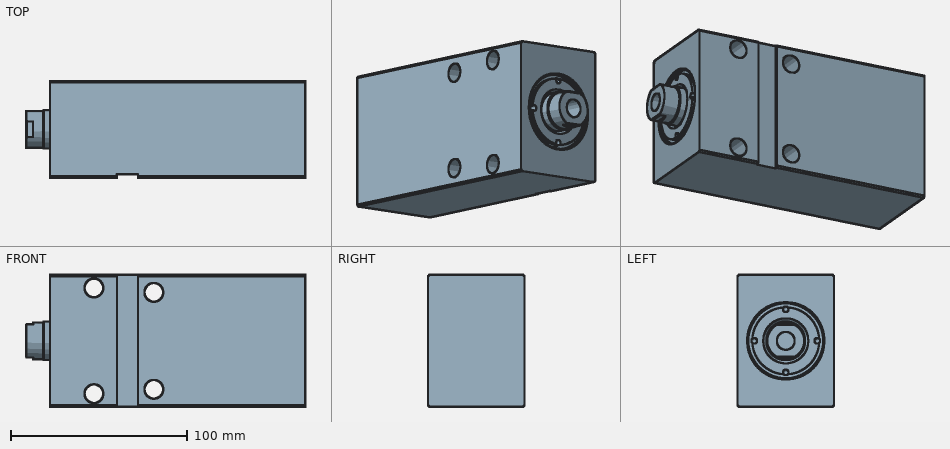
import cadquery as cq
import math

HOUSING_LENGTH = 145.0
HOUSING_WIDTH = 55.0
HOUSING_HEIGHT = 75.0
EDGE_CHAMFER = 1.0

KEYWAY_START = 38.0
KEYWAY_WIDTH = 12.0
KEYWAY_DEPTH = 2.0

MOUNTING_HOLE_DIAMETER = 10.5
MOUNTING_HOLE_PAIRS = [(25.0, 60.0), (59.0, 55.0)]

GLAND_DIAMETER = 42.5
GLAND_LENGTH = 25.0
GLAND_BORE_CHAMFER = 0.7
GLAND_STEP_DIAMETER = 38.0
GLAND_STEP_DEPTH = 1.8
ROD_COUNTERSINK_DIAMETER = 25.6

SPANNER_HOLE_COUNT = 4
SPANNER_HOLE_CIRCLE = 35.8
SPANNER_HOLE_DIAMETER = 3.2
SPANNER_HOLE_DEPTH = 5.0
DRILL_POINT_ANGLE = 118.0

ROD_DIAMETER = 22.0
ROD_PROTRUSION = 13.5
ROD_END_DIAMETER = 21.0
ROD_END_LENGTH = 9.6
FLAT_SPACING = 19.0
FLAT_LENGTH = 4.0
FLAT_EDGE_CHAMFER = 0.5
ROD_BORE_DIAMETER = 10.2
ROD_BORE_DEPTH = 25.0


def cylinder_along_x(diameter, start, length):
    return cq.Workplane("YZ", origin=(start, 0, 0)).circle(diameter / 2).extrude(length)


def cone_along_x(start, start_diameter, end_diameter, length):
    solid = cq.Solid.makeCone(
        start_diameter / 2, end_diameter / 2, length, cq.Vector(start, 0, 0), cq.Vector(1, 0, 0)
    )
    return cq.Workplane(solid)


def keyway():
    bar = cq.Workplane().box(KEYWAY_WIDTH, KEYWAY_DEPTH, HOUSING_HEIGHT, centered=(False, False, True))
    return bar.translate((KEYWAY_START, -HOUSING_WIDTH / 2, 0))


def mounting_holes():
    centres = [(x, side * spacing / 2) for x, spacing in MOUNTING_HOLE_PAIRS for side in (-1, 1)]
    return (
        cq.Workplane("XZ")
        .pushPoints(centres)
        .circle(MOUNTING_HOLE_DIAMETER / 2)
        .extrude(HOUSING_WIDTH / 2, both=True)
    )


def make_housing():
    block = (
        cq.Workplane()
        .box(HOUSING_LENGTH, HOUSING_WIDTH, HOUSING_HEIGHT, centered=(False, True, True))
        .edges("|X")
        .chamfer(EDGE_CHAMFER)
    )
    mouth_diameter = GLAND_DIAMETER + 2 * GLAND_BORE_CHAMFER
    return (
        block.cut(keyway())
        .cut(mounting_holes())
        .cut(cylinder_along_x(GLAND_DIAMETER, 0, GLAND_LENGTH))
        .cut(cone_along_x(0, mouth_diameter, GLAND_DIAMETER, GLAND_BORE_CHAMFER))
    )


def spanner_hole(angle):
    point_length = SPANNER_HOLE_DIAMETER / 2 / math.tan(math.radians(DRILL_POINT_ANGLE / 2))
    hole = cylinder_along_x(SPANNER_HOLE_DIAMETER, 0, SPANNER_HOLE_DEPTH).union(
        cone_along_x(SPANNER_HOLE_DEPTH, SPANNER_HOLE_DIAMETER, 0, point_length)
    )
    return hole.translate((0, SPANNER_HOLE_CIRCLE / 2, 0)).rotate((0, 0, 0), (1, 0, 0), angle)


def make_gland():
    countersink_depth = (ROD_COUNTERSINK_DIAMETER - ROD_DIAMETER) / 2
    gland = (
        cylinder_along_x(GLAND_DIAMETER, GLAND_STEP_DEPTH, GLAND_LENGTH - GLAND_STEP_DEPTH)
        .union(cylinder_along_x(GLAND_STEP_DIAMETER, 0, GLAND_STEP_DEPTH))
        .cut(cylinder_along_x(ROD_DIAMETER, 0, GLAND_LENGTH))
        .cut(cone_along_x(0, ROD_COUNTERSINK_DIAMETER, ROD_DIAMETER, countersink_depth))
    )
    for index in range(SPANNER_HOLE_COUNT):
        gland = gland.cut(spanner_hole(index * 360 / SPANNER_HOLE_COUNT))
    return gland


def spanner_flat_cutter():
    """Material removed above the upper flat, with the chamfer on the flat's front edge."""
    flat_height = FLAT_SPACING / 2
    top = ROD_DIAMETER / 2
    return (
        cq.Workplane("XZ")
        .moveTo(-ROD_PROTRUSION, flat_height - FLAT_EDGE_CHAMFER)
        .lineTo(-ROD_PROTRUSION + FLAT_EDGE_CHAMFER, flat_height)
        .lineTo(-ROD_PROTRUSION + FLAT_LENGTH, flat_height)
        .lineTo(-ROD_PROTRUSION + FLAT_LENGTH, top)
        .lineTo(-ROD_PROTRUSION, top)
        .close()
        .extrude(ROD_DIAMETER / 2, both=True)
    )


def make_rod():
    cone_start = -ROD_PROTRUSION + ROD_END_LENGTH
    cone_length = (ROD_DIAMETER - ROD_END_DIAMETER) / 2
    shank_start = cone_start + cone_length
    cutter = spanner_flat_cutter()
    return (
        cylinder_along_x(ROD_END_DIAMETER, -ROD_PROTRUSION, ROD_END_LENGTH)
        .union(cone_along_x(cone_start, ROD_END_DIAMETER, ROD_DIAMETER, cone_length))
        .union(cylinder_along_x(ROD_DIAMETER, shank_start, GLAND_LENGTH - shank_start))
        .cut(cylinder_along_x(ROD_BORE_DIAMETER, -ROD_PROTRUSION, ROD_BORE_DEPTH))
        .cut(cutter)
        .cut(cutter.mirror("XY"))
    )


housing = make_housing()
gland = make_gland()
rod = make_rod()

result = cq.Compound.makeCompound([housing.val(), gland.val(), rod.val()])